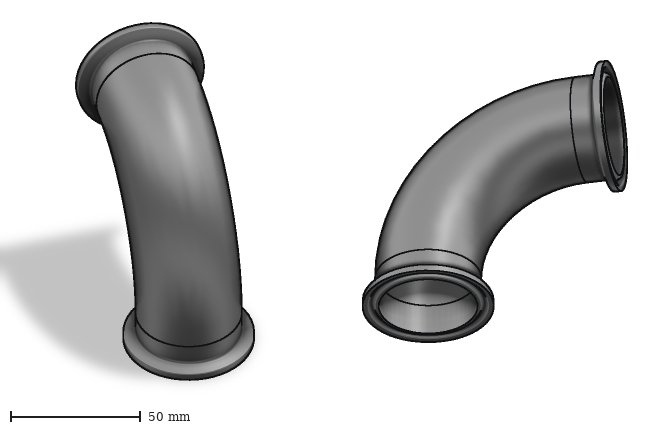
import cadquery as cq
import math

overall_length = 98.25
flange_diameter = 50.5
tube_diameter = 41.0
bore_diameter = 38.0
ferrule_length = 12.8

rim_width = 2.4
rim_round = 0.7
neck_end = 5.7
clamp_angle = math.radians(20)

groove_diameter = 43.6
groove_width = 3.8
groove_lip_width = 0.8
groove_wall_width = 0.2
groove_wall_angle = math.radians(70)

flange_radius = flange_diameter / 2
tube_radius = tube_diameter / 2
bore_radius = bore_diameter / 2
axis_offset = overall_length - flange_radius
bend_radius = axis_offset - ferrule_length


def arc_point(center, radius, angle):
    """Point on a circle in the (radial, axial) plane."""
    return (center[0] + radius * math.cos(angle), center[1] + radius * math.sin(angle))


def neck_round_radius():
    """Radius of the concave round tangent to both the clamp cone and the tube."""
    sine, cosine = math.sin(clamp_angle), math.cos(clamp_angle)
    radial_gap = flange_radius - rim_round - tube_radius
    axial_gap = neck_end - rim_width
    return (axial_gap * cosine - radial_gap * sine - rim_round) / (1 - sine)


def make_ferrule_blank():
    """Bored ferrule along +Z without its groove, sealing face on the XY plane."""
    cone_normal = math.pi / 2 - clamp_angle
    rim_center = (flange_radius - rim_round, rim_width)
    neck_round = neck_round_radius()
    neck_center = (tube_radius + neck_round, neck_end)
    return (
        cq.Workplane("XZ")
        .moveTo(bore_radius, 0)
        .lineTo(flange_radius, 0)
        .lineTo(flange_radius, rim_width)
        .threePointArc(
            arc_point(rim_center, rim_round, cone_normal / 2),
            arc_point(rim_center, rim_round, cone_normal),
        )
        .lineTo(*arc_point(neck_center, neck_round, math.pi + cone_normal))
        .threePointArc(
            arc_point(neck_center, neck_round, math.pi + cone_normal / 2),
            (tube_radius, neck_end),
        )
        .lineTo(tube_radius, ferrule_length)
        .lineTo(bore_radius, ferrule_length)
        .close()
        .revolve(360, (0, 0, 0), (0, 1, 0))
    )


def make_groove_cutter():
    """Ring with a round bottom and rounded lips, centered on the Z axis."""
    center_radius = groove_diameter / 2
    half_width = groove_width / 2
    floor_half_width = half_width - groove_lip_width - groove_wall_width
    lip_round = groove_lip_width / math.sin(groove_wall_angle)
    floor_round = floor_half_width / math.sin(groove_wall_angle)
    wall_depth = groove_wall_width * math.tan(groove_wall_angle)
    depth = (lip_round + floor_round) * (1 - math.cos(groove_wall_angle)) + wall_depth
    floor_center = (center_radius, depth - floor_round)

    inner_lip_center = (center_radius - half_width, lip_round)
    outer_lip_center = (center_radius + half_width, lip_round)
    lip_start = -math.pi / 2
    inner_lip_middle = lip_start + groove_wall_angle / 2
    outer_lip_middle = lip_start - groove_wall_angle / 2
    inner_lip_end = lip_start + groove_wall_angle
    outer_lip_end = lip_start - groove_wall_angle
    inner_floor_angle = math.pi / 2 + groove_wall_angle
    outer_floor_angle = math.pi / 2 - groove_wall_angle
    return (
        cq.Workplane("XZ")
        .moveTo(center_radius - half_width, 0)
        .threePointArc(
            arc_point(inner_lip_center, lip_round, inner_lip_middle),
            arc_point(inner_lip_center, lip_round, inner_lip_end),
        )
        .lineTo(*arc_point(floor_center, floor_round, inner_floor_angle))
        .threePointArc(
            (center_radius, depth),
            arc_point(floor_center, floor_round, outer_floor_angle),
        )
        .lineTo(*arc_point(outer_lip_center, lip_round, outer_lip_end))
        .threePointArc(
            arc_point(outer_lip_center, lip_round, outer_lip_middle),
            (center_radius + half_width, 0),
        )
        .close()
        .revolve(360, (0, 0, 0), (0, 1, 0))
    )


def make_ferrule():
    """Clamp ferrule along +Z, with its grooved sealing face on the XY plane."""
    return make_ferrule_blank().cut(make_groove_cutter())


def make_elbow():
    """Quarter-turn tube bend between the two ferrule joints."""
    return (
        cq.Workplane("XY", origin=(axis_offset, 0, ferrule_length))
        .circle(tube_radius)
        .circle(bore_radius)
        .revolve(90, (-bend_radius, 0, 0), (-bend_radius, -1, 0))
    )


ferrule_placements = [
    (0, (axis_offset, 0, 0)),
    (90, (0, 0, axis_offset)),
]

elbow = make_elbow()
ferrules = []
for turn, position in ferrule_placements:
    ferrule = make_ferrule().rotate((0, 0, 0), (0, 1, 0), turn).translate(position)
    ferrules.append(ferrule.val())

result = cq.Compound.makeCompound([elbow.val(), *ferrules])